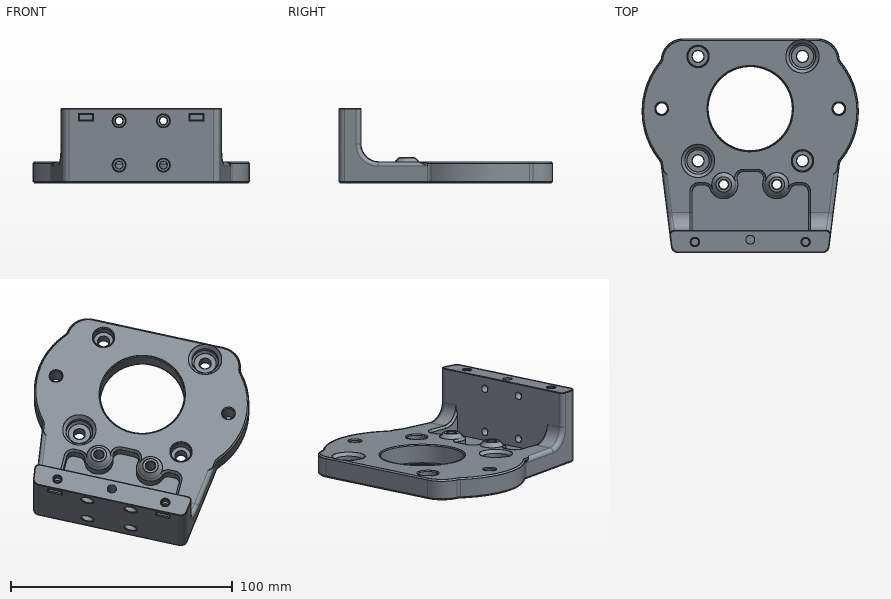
import cadquery as cq
import math

PLATE_THICKNESS = 9.5
TOTAL_HEIGHT = 33.5
BACK_Y = 31.5
FRONT_Y = -65.0
WALL_THICKNESS = 10.0
WALL_INNER_Y = FRONT_Y + WALL_THICKNESS
EDGE_CHAMFER = 0.7

BLOCK_HALF_WIDTH = 40.2
BLOCK_CORNER_RADIUS = 10.0
EAR_RADIUS = 35.0
EAR_TIP_X = 48.84
EAR_CENTER_X = EAR_TIP_X - EAR_RADIUS
EAR_CENTER_Y = -1.2
EAR_INNER_X = BLOCK_HALF_WIDTH - 5.0
EAR_JUNCTIONS_Y = (22.0, -24.0)
EAR_JUNCTION_RANGE = 1.5
EAR_BLEND_RADIUS = 3.0

ARM_START_Y = -20.0
ARM_FRONT_HALF_WIDTH = 35.25
ARM_TAPER = 0.125
WALL_CORNER_RADIUS = 3.0
WALL_TOP_CHAMFER = 0.25
PICK_MARGIN = 0.1
ARM_EDGE_FILLET = 2.0
INNER_CORNER_RADIUS = 8.0
INNER_CORNER_START_Y = WALL_INNER_Y + INNER_CORNER_RADIUS
RIM_END_OUTER = (BLOCK_HALF_WIDTH, -25.1)
RIM_END_MIDDLE = (39.35, -27.7)
RIM_END_INNER = (37.4, -29.8)

BORE_DIAMETER = 38.0
BORE_CHAMFER = 0.5
BORE_BOTTOM_CHAMFER = 1.0
MOTOR_HOLE_OFFSET = 47.14 / 2
MOTOR_HOLE_DIAMETER = 5.3
PLAIN_BORE_DIAMETER = 9.1
PLAIN_BORE_DEPTH = 4.5
PLAIN_BORE_CHAMFER = 0.5
WIDE_BORE_DIAMETER = 12.0
WIDE_BORE_DEPTH = 4.5
WIDE_BORE_RIM_CHAMFER = 1.5
WIDE_BORE_FLOOR_CHAMFER = 1.0
EAR_HOLE_X = 40.0
EAR_HOLE_DIAMETER = 5.2
EAR_HOLE_CHAMFER = 0.5

POCKET_FLOOR_Z = 4.0
POCKET_HALF_WIDTH = 26.2
POCKET_SIDE_END_Y = -34.4
POCKET_MIDDLE_END_Y = -28.4
POCKET_CORNER_RADIUS = 3.0
POCKET_CHAMFER = 1.0
POST_X = 12.0
POST_Y = -34.25
POST_RADIUS = 6.4
POST_CONE_HEIGHT = 1.9
POST_HOLE_DIAMETER = 4.23
POST_HOLE_CHAMFER = 0.2

INSERT_X = 10.0
INSERT_HEIGHTS = (8.0, 28.0)
INSERT_DIAMETER = 5.6
INSERT_DEPTH = 6.0
INSERT_CHAMFER = 0.3
INSERT_HOLE_DIAMETER = 3.5
NUT_X = 25.0
NUT_SLOT_Z = 29.6
NUT_SLOT_WIDTH = 5.8
NUT_SLOT_HEIGHT = 2.5
NUT_SLOT_DEPTH = 7.6
NUT_SLOT_CHAMFER = 0.5
NUT_SCREW_Y = -60.2
NUT_SCREW_DIAMETER = 3.4
NUT_SCREW_DEPTH = 10.0
NUT_SCREW_CHAMFER = 0.4
PIN_HOLE_Y = -59.2
PIN_HOLE_DIAMETER = 4.0
PIN_HOLE_DEPTH = 10.0


def revolved(x, y, profile):
    """Solid of revolution about the vertical axis at (x, y) from (radius, height) points."""
    return cq.Workplane("XZ").polyline(profile).close().revolve(360, (0, 0), (0, 1)).translate((x, y, 0))


def chamfered_hole(x, y, diameter, chamfer, top_z, bottom_z):
    """Round cutter with a 45 degree chamfer at its top rim."""
    radius = diameter / 2
    profile = [
        (0, bottom_z),
        (radius, bottom_z),
        (radius, top_z - chamfer),
        (radius + chamfer, top_z),
        (0, top_z),
    ]
    return revolved(x, y, profile)


def straight_hole(x, y, diameter, top_z, bottom_z):
    """Plain round cutter."""
    start = cq.Workplane("XY", origin=(x, y, bottom_z))
    return start.circle(diameter / 2).extrude(top_z - bottom_z)


def arm_half_width(y):
    return ARM_FRONT_HALF_WIDTH + ARM_TAPER * (y - FRONT_Y)


def arm_outline(height):
    start = arm_half_width(ARM_START_Y)
    corners = [
        (-ARM_FRONT_HALF_WIDTH, FRONT_Y),
        (ARM_FRONT_HALF_WIDTH, FRONT_Y),
        (start, ARM_START_Y),
        (-start, ARM_START_Y),
    ]
    return cq.Workplane("XY").polyline(corners).close().extrude(height)


def arm():
    """Tapered L-shaped arm: foot, upright wall and the rounded corner between them."""
    space_above = cq.Workplane("XY").box(
        2 * BLOCK_HALF_WIDTH,
        ARM_START_Y - WALL_INNER_Y,
        TOTAL_HEIGHT - PLATE_THICKNESS,
        centered=(True, False, False),
    ).translate((0, WALL_INNER_Y, PLATE_THICKNESS))
    space_above = space_above.edges("<Y and <Z").fillet(INNER_CORNER_RADIUS)
    body = arm_outline(TOTAL_HEIGHT)
    body = body.edges("|Z and <Y").fillet(WALL_CORNER_RADIUS)
    body = body.cut(space_above)
    wall_side_edges = cq.selectors.BoxSelector(
        (-BLOCK_HALF_WIDTH, WALL_INNER_Y - PICK_MARGIN, PLATE_THICKNESS + INNER_CORNER_RADIUS),
        (BLOCK_HALF_WIDTH, WALL_INNER_Y + PICK_MARGIN, TOTAL_HEIGHT),
    )
    body = body.edges("|Z").edges(wall_side_edges).fillet(ARM_EDGE_FILLET)
    return body.faces(">Z").chamfer(WALL_TOP_CHAMFER)


def plate():
    """Rounded block with ears, chamfered along its upper rim, ending at the arm."""
    block = cq.Workplane("XY").box(
        2 * BLOCK_HALF_WIDTH,
        BACK_Y - ARM_START_Y,
        PLATE_THICKNESS,
        centered=(True, False, False),
    ).translate((0, ARM_START_Y, 0))
    block = block.edges("|Z and >Y").fillet(BLOCK_CORNER_RADIUS)
    outline = block.union(arm_outline(PLATE_THICKNESS))
    for side in (-1, 1):
        ear_disc = cq.Workplane("XY").center(side * EAR_CENTER_X, EAR_CENTER_Y)
        ear_disc = ear_disc.circle(EAR_RADIUS).extrude(PLATE_THICKNESS)
        outer_part = cq.Workplane("XY").box(
            EAR_RADIUS, 2 * EAR_RADIUS, PLATE_THICKNESS, centered=(True, True, False)
        ).translate((side * (EAR_INNER_X + EAR_RADIUS / 2), EAR_CENTER_Y, 0))
        outline = outline.union(ear_disc.intersect(outer_part))
    outline = outline.clean()
    for junction_y in EAR_JUNCTIONS_Y:
        junctions = cq.selectors.BoxSelector(
            (-EAR_TIP_X, junction_y - EAR_JUNCTION_RANGE, 0),
            (EAR_TIP_X, junction_y + EAR_JUNCTION_RANGE, PLATE_THICKNESS),
        )
        outline = outline.edges("|Z").edges(junctions).fillet(EAR_BLEND_RADIUS)
    outline = outline.faces(">Z").chamfer(EDGE_CHAMFER)
    keep_half = (
        cq.Workplane("XY")
        .moveTo(0, RIM_END_INNER[1])
        .lineTo(*RIM_END_INNER)
        .threePointArc(RIM_END_MIDDLE, RIM_END_OUTER)
        .lineTo(2 * BLOCK_HALF_WIDTH, RIM_END_OUTER[1])
        .lineTo(2 * BLOCK_HALF_WIDTH, BACK_Y)
        .lineTo(0, BACK_Y)
        .close()
        .extrude(PLATE_THICKNESS)
    )
    return outline.intersect(keep_half.union(keep_half.mirror("YZ")))


def lobe_corner(edge_y):
    """Pocket corner arc tangent to the line y = edge_y and to the post at +POST_X.

    Returns the arc centre's X distance from the post axis, and its tangent point on the post
    as distances from the post axis.
    """
    rise = edge_y - POCKET_CORNER_RADIUS - POST_Y
    reach = POST_RADIUS + POCKET_CORNER_RADIUS
    run = math.sqrt(reach**2 - rise**2)
    scale = POST_RADIUS / reach
    return run, (run * scale, rise * scale)


def half_pocket_outline(z):
    """Outline at height z of the pocket's +X half; it runs around the post."""
    side_run, side_touch = lobe_corner(POCKET_SIDE_END_Y)
    middle_run, middle_touch = lobe_corner(POCKET_MIDDLE_END_Y)
    return (
        cq.Workplane("XY", origin=(0, 0, z))
        .moveTo(0, WALL_INNER_Y)
        .lineTo(POCKET_HALF_WIDTH, WALL_INNER_Y)
        .lineTo(POCKET_HALF_WIDTH, POCKET_SIDE_END_Y - POCKET_CORNER_RADIUS)
        .radiusArc((POCKET_HALF_WIDTH - POCKET_CORNER_RADIUS, POCKET_SIDE_END_Y), -POCKET_CORNER_RADIUS)
        .lineTo(POST_X + side_run, POCKET_SIDE_END_Y)
        .radiusArc((POST_X + side_touch[0], POST_Y + side_touch[1]), -POCKET_CORNER_RADIUS)
        .threePointArc(
            (POST_X, POST_Y - POST_RADIUS),
            (POST_X - middle_touch[0], POST_Y + middle_touch[1]),
        )
        .radiusArc((POST_X - middle_run, POCKET_MIDDLE_END_Y), -POCKET_CORNER_RADIUS)
        .lineTo(0, POCKET_MIDDLE_END_Y)
        .close()
    )


def flat_rim_chamfer():
    """Cutter for the +X half of the pocket's rim chamfer on the plate's flat top."""
    flare = half_pocket_outline(PLATE_THICKNESS - POCKET_CHAMFER).extrude(POCKET_CHAMFER, taper=-45)
    flat_top = cq.Workplane("XY").box(
        2 * BLOCK_HALF_WIDTH, BACK_Y - INNER_CORNER_START_Y, PLATE_THICKNESS, centered=(True, False, False)
    ).translate((0, INNER_CORNER_START_Y, 0))
    return flare.intersect(flat_top)


def curved_rim_chamfer():
    """Cutter for the +X rim chamfer where the pocket cuts the rounded inner corner."""
    corner_axis_z = PLATE_THICKNESS + INNER_CORNER_RADIUS
    section = [
        (POCKET_HALF_WIDTH, -INNER_CORNER_RADIUS),
        (POCKET_HALF_WIDTH + POCKET_CHAMFER, -INNER_CORNER_RADIUS),
        (POCKET_HALF_WIDTH, -INNER_CORNER_RADIUS - POCKET_CHAMFER),
    ]
    ring = cq.Workplane("XZ").polyline(section).close().revolve(360, (0, 0), (1, 0))
    ring = ring.translate((0, INNER_CORNER_START_Y, corner_axis_z))
    corner = cq.Workplane("XY").box(
        2 * BLOCK_HALF_WIDTH, INNER_CORNER_RADIUS, corner_axis_z, centered=(True, False, False)
    ).translate((0, WALL_INNER_Y, 0))
    return ring.intersect(corner)


def cut_pocket(body):
    half_pocket = half_pocket_outline(POCKET_FLOOR_Z).extrude(TOTAL_HEIGHT - POCKET_FLOOR_Z)
    for half in (half_pocket, flat_rim_chamfer(), curved_rim_chamfer()):
        body = body.cut(half).cut(half.mirror("YZ"))
    return body


def add_posts(body):
    """Posts whose cones continue the slope of the pocket's rim chamfer."""
    base_radius = POST_RADIUS - POCKET_CHAMFER
    cone_top_z = PLATE_THICKNESS + POST_CONE_HEIGHT
    profile = [
        (0, PLATE_THICKNESS),
        (base_radius, PLATE_THICKNESS),
        (base_radius - POST_CONE_HEIGHT, cone_top_z),
        (0, cone_top_z),
    ]
    for x in (-POST_X, POST_X):
        hole = chamfered_hole(x, POST_Y, POST_HOLE_DIAMETER, POST_HOLE_CHAMFER, cone_top_z, 0)
        body = body.union(revolved(x, POST_Y, profile), clean=False)
        body = body.cut(hole, clean=False)
    return body


def cut_plate_holes(body):
    """Bore, four motor screw holes with two kinds of counterbore, and the ear holes."""
    body = body.cut(chamfered_hole(0, 0, BORE_DIAMETER, BORE_CHAMFER, PLATE_THICKNESS, 0))
    lower_rim = cq.Workplane("XY").circle(BORE_DIAMETER / 2 + BORE_BOTTOM_CHAMFER)
    body = body.cut(lower_rim.extrude(BORE_BOTTOM_CHAMFER, taper=45))
    wide_radius = WIDE_BORE_DIAMETER / 2
    wide_floor_z = PLATE_THICKNESS - WIDE_BORE_DEPTH
    wide_profile = [
        (0, wide_floor_z),
        (wide_radius - WIDE_BORE_FLOOR_CHAMFER, wide_floor_z),
        (wide_radius, wide_floor_z + WIDE_BORE_FLOOR_CHAMFER),
        (wide_radius, PLATE_THICKNESS - WIDE_BORE_RIM_CHAMFER),
        (wide_radius + WIDE_BORE_RIM_CHAMFER, PLATE_THICKNESS),
        (0, PLATE_THICKNESS),
    ]
    for side_x in (-1, 1):
        for side_y in (-1, 1):
            x = side_x * MOTOR_HOLE_OFFSET
            y = side_y * MOTOR_HOLE_OFFSET
            body = body.cut(straight_hole(x, y, MOTOR_HOLE_DIAMETER, PLATE_THICKNESS, 0))
            if side_x == side_y:
                counterbore = revolved(x, y, wide_profile)
            else:
                counterbore = chamfered_hole(
                    x,
                    y,
                    PLAIN_BORE_DIAMETER,
                    PLAIN_BORE_CHAMFER,
                    PLATE_THICKNESS,
                    PLATE_THICKNESS - PLAIN_BORE_DEPTH,
                )
            body = body.cut(counterbore)
        ear_hole = chamfered_hole(
            side_x * EAR_HOLE_X, 0, EAR_HOLE_DIAMETER, EAR_HOLE_CHAMFER, PLATE_THICKNESS, 0
        )
        body = body.cut(ear_hole)
    return body


def insert_hole(x, z):
    """Stepped hole through the wall, wide and chamfered on the wall's outer face."""
    wide_radius = INSERT_DIAMETER / 2
    narrow_radius = INSERT_HOLE_DIAMETER / 2
    profile = [
        (0, 0),
        (wide_radius + INSERT_CHAMFER, 0),
        (wide_radius, INSERT_CHAMFER),
        (wide_radius, INSERT_DEPTH),
        (narrow_radius, INSERT_DEPTH),
        (narrow_radius, WALL_THICKNESS),
        (0, WALL_THICKNESS),
    ]
    hole = cq.Workplane("XY").polyline(profile).close().revolve(360, (0, 0), (0, 1))
    return hole.translate((x, FRONT_Y, z))


def nut_slot(x):
    """Rectangular slot into the wall's outer face with a chamfered mouth."""
    slot = cq.Workplane("XZ", origin=(x, FRONT_Y, NUT_SLOT_Z))
    slot = slot.rect(NUT_SLOT_WIDTH, NUT_SLOT_HEIGHT).extrude(-NUT_SLOT_DEPTH)
    mouth_width = NUT_SLOT_WIDTH + 2 * NUT_SLOT_CHAMFER
    mouth_height = NUT_SLOT_HEIGHT + 2 * NUT_SLOT_CHAMFER
    mouth = cq.Workplane("XZ", origin=(x, FRONT_Y, NUT_SLOT_Z)).rect(mouth_width, mouth_height)
    mouth = mouth.workplane(offset=-NUT_SLOT_CHAMFER).rect(NUT_SLOT_WIDTH, NUT_SLOT_HEIGHT).loft()
    return slot.union(mouth)


def cut_wall_holes(body):
    """Insert holes, nut slots with their screw holes, and the pin hole in the wall's top."""
    for side in (-1, 1):
        for z in INSERT_HEIGHTS:
            body = body.cut(insert_hole(side * INSERT_X, z))
        body = body.cut(nut_slot(side * NUT_X))
        screw_hole = chamfered_hole(
            side * NUT_X,
            NUT_SCREW_Y,
            NUT_SCREW_DIAMETER,
            NUT_SCREW_CHAMFER,
            TOTAL_HEIGHT,
            TOTAL_HEIGHT - NUT_SCREW_DEPTH,
        )
        body = body.cut(screw_hole)
    pin_hole = straight_hole(0, PIN_HOLE_Y, PIN_HOLE_DIAMETER, TOTAL_HEIGHT, TOTAL_HEIGHT - PIN_HOLE_DEPTH)
    return body.cut(pin_hole)


body = plate().union(arm())
body = body.faces("<Z").chamfer(EDGE_CHAMFER)
body = cut_pocket(body)
body = cut_plate_holes(body)
body = cut_wall_holes(body)
result = add_posts(body)